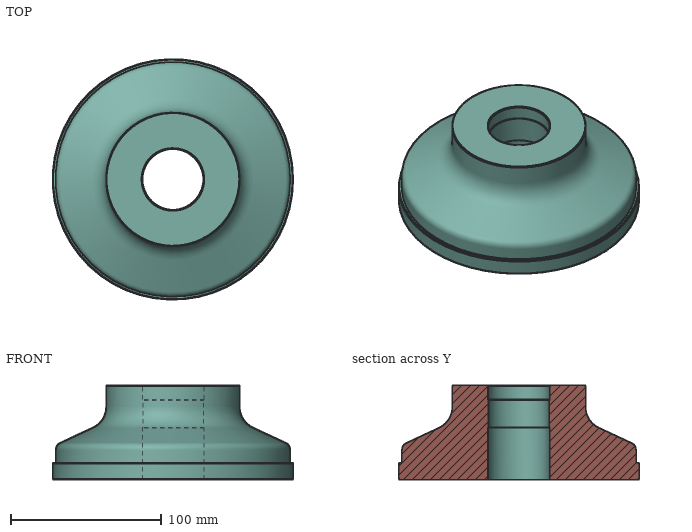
import cadquery as cq
import math

flange_radius = 80.0
flange_height = 11.5

edge_angle = math.radians(30.0)
edge_inset = 0.5
edge_drop = edge_inset / math.tan(edge_angle)

total_height = 63.0
body_radius = 78.0
neck_radius = 44.5
neck_base_z = 48.3
cone_angle = math.radians(25.0)
shoulder_fillet = 5.0
neck_fillet = 15.0

bore_radius = 20.4
land_radius = 20.15
upper_bore_depth = 10.0
land_length = 18.0
land_top_z = total_height - upper_bore_depth
land_bottom_z = land_top_z - land_length


def arc_point(center, radius, angle):
    """Point on a circle in the profile plane, as (radius from axis, height)."""
    return (
        center[0] + radius * math.cos(angle),
        center[1] + radius * math.sin(angle),
    )


def revolve_profile(points):
    """Revolve a closed outline of (radius, height) points about the Z axis."""
    outline = cq.Workplane("XZ").polyline(points).close()
    return outline.revolve(360, (0, 0, 0), (0, 1, 0))


def make_flange():
    """Disc with its top and bottom rims broken."""
    return revolve_profile([
        (0, 0),
        (flange_radius - edge_inset, 0),
        (flange_radius, edge_drop),
        (flange_radius, flange_height - edge_drop),
        (flange_radius - edge_inset, flange_height),
        (0, flange_height),
    ])


def make_body():
    """Revolved neck and cone, with tangent arcs at the neck and the shoulder."""
    cone_normal = math.pi / 2 - cone_angle

    neck_center = (neck_radius + neck_fillet, neck_base_z)
    neck_arc_mid = arc_point(neck_center, neck_fillet, math.pi + cone_normal / 2)
    cone_top = arc_point(neck_center, neck_fillet, math.pi + cone_normal)

    shoulder_center_r = body_radius - shoulder_fillet
    cone_bottom_r = shoulder_center_r + shoulder_fillet * math.cos(cone_normal)
    cone_drop = (cone_bottom_r - cone_top[0]) * math.tan(cone_angle)
    cone_bottom = (cone_bottom_r, cone_top[1] - cone_drop)
    shoulder_z = cone_bottom[1] - shoulder_fillet * math.sin(cone_normal)
    shoulder_center = (shoulder_center_r, shoulder_z)
    shoulder_mid = arc_point(shoulder_center, shoulder_fillet, cone_normal / 2)

    outline = (
        cq.Workplane("XZ")
        .moveTo(0, 0)
        .lineTo(0, total_height)
        .lineTo(neck_radius - edge_inset, total_height)
        .lineTo(neck_radius, total_height - edge_drop)
        .lineTo(neck_radius, neck_base_z)
        .threePointArc(neck_arc_mid, cone_top)
        .lineTo(*cone_bottom)
        .threePointArc(shoulder_mid, (body_radius, shoulder_z))
        .lineTo(body_radius, 0)
        .close()
    )
    return outline.revolve(360, (0, 0, 0), (0, 1, 0))


def make_bore():
    """Through bore: broken top rim, land with a tapered step at each end."""
    step_length = (bore_radius - land_radius) / math.tan(edge_angle)
    return revolve_profile([
        (0, 0),
        (bore_radius, 0),
        (bore_radius, land_bottom_z - step_length),
        (land_radius, land_bottom_z),
        (land_radius, land_top_z),
        (bore_radius, land_top_z + step_length),
        (bore_radius, total_height - edge_drop),
        (bore_radius + edge_inset, total_height),
        (0, total_height),
    ])


result = make_flange().union(make_body()).cut(make_bore())